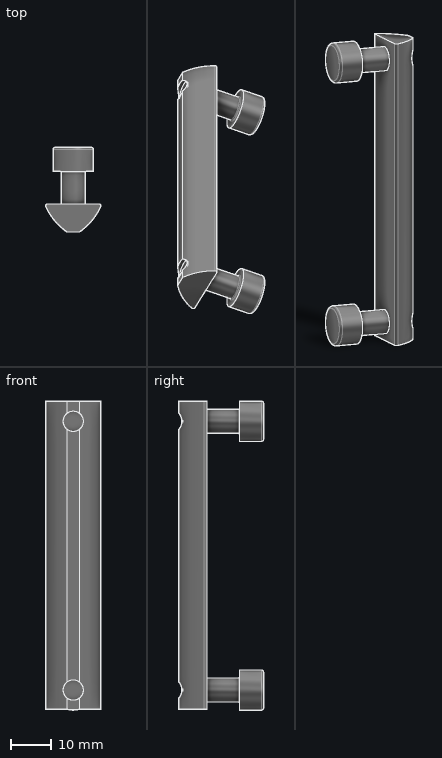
import cadquery as cq
import math

rail_length = 76.2
rail_depth = 7.0
back_corner_half_width = 7.1
front_flat_half_width = 1.5
flank_radius = 15.0
back_corner_radius = 0.5

head_diameter = 10.0
head_height = 6.0
head_edge_radius = 0.6
shank_diameter = 6.0
shank_length = 8.0
neck_radius = 0.25
tip_diameter = 5.0
tip_recess = 1.0
tip_length = rail_depth - tip_recess

lower_head_overhang = 0.2
upper_screw_z = rail_length - head_diameter / 2
lower_screw_z = head_diameter / 2 - lower_head_overhang
screw_heights = [lower_screw_z, upper_screw_z]


def flank_midpoint():
    """Point halfway along the right flank arc, which bulges outwards."""
    run = back_corner_half_width - front_flat_half_width
    chord = math.hypot(run, rail_depth)
    sagitta = flank_radius - math.sqrt(flank_radius**2 - (chord / 2) ** 2)
    x = (back_corner_half_width + front_flat_half_width) / 2 + sagitta * rail_depth / chord
    y = -rail_depth / 2 - sagitta * run / chord
    return x, y


def make_rail():
    mid_x, mid_y = flank_midpoint()
    bar = (
        cq.Workplane("XY")
        .moveTo(-back_corner_half_width, 0)
        .lineTo(back_corner_half_width, 0)
        .threePointArc((mid_x, mid_y), (front_flat_half_width, -rail_depth))
        .lineTo(-front_flat_half_width, -rail_depth)
        .threePointArc((-mid_x, mid_y), (-back_corner_half_width, 0))
        .close()
        .extrude(rail_length)
    )
    bar = bar.faces(">Y").edges("|Z").fillet(back_corner_radius)

    holes = (
        cq.Workplane("XZ")
        .pushPoints([(0, z) for z in screw_heights])
        .circle(tip_diameter / 2)
        .extrude(rail_depth)
    )
    return bar.cut(holes)


def make_screw(z):
    """Cap screw pointing towards -Y, its shank shoulder resting on the back of the rail."""
    head_underside = cq.Workplane("XZ", origin=(0, shank_length, z))
    head = head_underside.circle(head_diameter / 2).extrude(-head_height)
    head = head.faces(">Y").edges().fillet(head_edge_radius)
    shank = head_underside.circle(shank_diameter / 2).extrude(shank_length)
    inner_edge = cq.selectors.RadiusNthSelector(0)
    screw = head.union(shank).faces("<Y[1]").edges(inner_edge).fillet(neck_radius)
    tip = cq.Workplane("XZ", origin=(0, 0, z)).circle(tip_diameter / 2).extrude(tip_length)
    return screw.union(tip)


rail = make_rail()
screws = [make_screw(z) for z in screw_heights]

result = cq.Compound.makeCompound([rail.val(), *[screw.val() for screw in screws]])